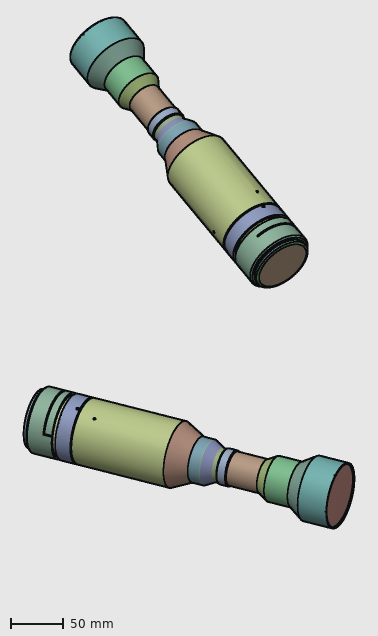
import cadquery as cq
import math

axis_start = (0, 0, 0)
axis_end = (1, 0, 0)

head_radius = 32.3
neck_radius = 22.7
tube_radius = 17.0
collar_radius = 18.0
body_radius = 33.0
cap_end_radius = 31.5
spigot_radius = 29.5
tip_radius = 27.0

head_end = 30.0
neck_start = 45.0
neck_end = 69.8
tube_start = 80.0
collar_start = 112.0
collar_end = 122.5
flare_start = 127.0
flare_end = 137.5
shoulder_start = 149.8
body_start = 170.5
cap_start = 288.0
cap_end = 313.5
spigot_start = 315.2
spigot_end = 319.0
total_length = 320.0

collar_chamfer = collar_radius - tube_radius
flare_blend = 2.0

cap_groove_width = 4.0
engraving_width = 1.0
engraving_depth = 0.5
joint_x = 268.0
relief_depth = 0.3
ring_grooves = [
    (joint_x, engraving_width, engraving_depth, body_radius),
    (cap_start - cap_groove_width / 2, cap_groove_width, 2.2, body_radius),
    (spigot_start + engraving_width / 2, engraving_width, relief_depth, spigot_radius),
]

recess_radius = 31.0
recess_depth = 1.3
lens_radius = 29.5
lens_rise = 0.5

slit_x = 296.5
slit_start_angle = 13
slit_end_angle = 114

pin_rows = [(250.5, 2.0, 60), (270.7, 2.5, 71)]
pins_per_row = 3
pin_depth = 2.0


def around_axis(shape, angle):
    return shape.rotate(axis_start, axis_end, angle)


def turned_body():
    outline = [
        (0, 0),
        (0, head_radius),
        (head_end, head_radius),
        (neck_start, neck_radius),
        (neck_end, neck_radius),
        (tube_start, tube_radius),
        (collar_start, tube_radius),
        (collar_start + collar_chamfer, collar_radius),
        (collar_end - collar_chamfer, collar_radius),
        (collar_end, tube_radius),
        (flare_start, tube_radius),
        (flare_end, neck_radius),
        (shoulder_start, neck_radius),
        (body_start, body_radius),
        (cap_end, body_radius),
        (spigot_start, cap_end_radius),
        (spigot_start, spigot_radius),
        (spigot_end, spigot_radius),
        (total_length, tip_radius),
        (total_length, 0),
    ]
    return cq.Workplane("XY").polyline(outline).close().revolve(360, axis_start, axis_end)


def circular_edge_at(x):
    """Selector for the edges lying entirely in the plane at x."""
    margin = 0.3
    reach = 2 * body_radius
    return cq.selectors.BoxSelector(
        (x - margin, -reach, -reach), (x + margin, reach, reach), boundingbox=True
    )


def ring_groove(x, width, depth, surface_radius):
    return (
        cq.Workplane("YZ", origin=(x - width / 2, 0, 0))
        .circle(surface_radius)
        .circle(surface_radius - depth)
        .extrude(width)
    )


def lens_recess():
    """Flat-bottomed recess with a shallow domed lens left standing on its floor."""
    recess = cq.Workplane("YZ").circle(recess_radius).extrude(recess_depth)
    dome_radius = (lens_radius**2 + lens_rise**2) / (2 * lens_rise)
    apex_x = recess_depth - lens_rise
    half_angle = math.asin(lens_radius / dome_radius) / 2
    arc_middle = (
        apex_x + dome_radius * (1 - math.cos(half_angle)),
        dome_radius * math.sin(half_angle),
    )
    dome = (
        cq.Workplane("XY")
        .moveTo(apex_x, 0)
        .threePointArc(arc_middle, (recess_depth, lens_radius))
        .lineTo(recess_depth, 0)
        .close()
        .revolve(360, axis_start, axis_end)
    )
    return recess.cut(dome)


def cap_slit():
    """Arc part way around the cap, with a straight leg running to the edge of the cap groove."""
    floor_radius = body_radius - engraving_depth
    cutter_height = 2 * engraving_depth
    slit_left = slit_x - engraving_width / 2
    arc = (
        cq.Workplane("XY")
        .moveTo(slit_left, floor_radius)
        .hLine(engraving_width)
        .vLine(cutter_height)
        .hLine(-engraving_width)
        .close()
        .revolve(slit_end_angle - slit_start_angle, axis_start, axis_end)
    )
    leg_length = slit_left + engraving_width - cap_start
    leg = (
        cq.Workplane("XY", origin=(cap_start, floor_radius, 0))
        .box(leg_length, cutter_height, engraving_width, centered=(False, False, True))
    )
    return around_axis(arc.union(leg), slit_start_angle)


def pin_hole(x, diameter, angle):
    hole = cq.Workplane("XZ", origin=(x, body_radius, 0)).circle(diameter / 2).extrude(pin_depth)
    return around_axis(hole, angle)


result = turned_body()
for flare_edge_x in (flare_start, flare_end):
    result = result.edges(circular_edge_at(flare_edge_x)).fillet(flare_blend)

for groove in ring_grooves:
    result = result.cut(ring_groove(*groove))

result = result.cut(lens_recess())
result = result.cut(cap_slit())

for pin_x, pin_diameter, first_angle in pin_rows:
    for i in range(pins_per_row):
        pin_angle = first_angle + i * 360 / pins_per_row
        result = result.cut(pin_hole(pin_x, pin_diameter, pin_angle))